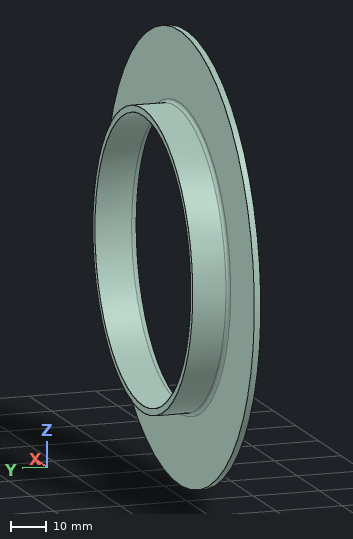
import cadquery as cq

flange_diameter = 133.0
collar_diameter = 88.8
wall = 2.0
total_depth = 13.0
outer_bend_radius = 1.0
mouth_radius = 2.0

flange_radius = flange_diameter / 2
collar_radius = collar_diameter / 2
bore_radius = collar_radius - wall
front = -total_depth / 2
back = total_depth / 2
flange_back = front + wall


def half_section():
    """Flanged collar section in the XY plane, on the +X side of the Y axis."""
    return (
        cq.Workplane("XY")
        .moveTo(bore_radius + mouth_radius, front)
        .lineTo(flange_radius, front)
        .lineTo(flange_radius, flange_back)
        .lineTo(collar_radius + outer_bend_radius, flange_back)
        .radiusArc((collar_radius, flange_back + outer_bend_radius), outer_bend_radius)
        .lineTo(collar_radius, back)
        .lineTo(bore_radius, back)
        .lineTo(bore_radius, front + mouth_radius)
        .radiusArc((bore_radius + mouth_radius, front), -mouth_radius)
        .close()
    )


result = half_section().revolve(360, (0, 0, 0), (0, 1, 0))